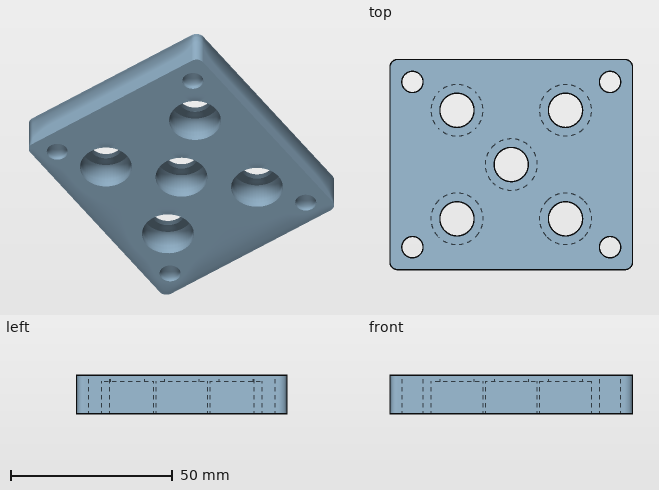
import cadquery as cq

length = 75.0
width = 65.0
thickness = 12.0
corner_radius = 2.5

mount_diameter = 6.5
mount_edge_distance = 7.0

bore_diameter = 10.5
bore_offset = 16.75
lip_thickness = 2.0
counterbore_diameter = 16.0
counterbore_depth = thickness - lip_thickness


def corner_points(x, y):
    """Four points mirrored about both centre lines."""
    return [(sx * x, sy * y) for sx in (-1, 1) for sy in (-1, 1)]


def vertical_cylinders(points, diameter, height):
    """Cylinders rising from the underside, used as cutting tools."""
    return cq.Workplane("XY").pushPoints(points).circle(diameter / 2).extrude(height)


def make_plate():
    plate = cq.Workplane("XY").box(length, width, thickness, centered=(True, True, False))
    return plate.edges("|Z").fillet(corner_radius)


def cut_mounting_holes(body):
    mount_x = length / 2 - mount_edge_distance
    mount_y = width / 2 - mount_edge_distance
    points = corner_points(mount_x, mount_y)
    return body.cut(vertical_cylinders(points, mount_diameter, thickness))


def cut_stepped_bores(body):
    points = [(0, 0)] + corner_points(bore_offset, bore_offset)
    body = body.cut(vertical_cylinders(points, bore_diameter, thickness))
    return body.cut(vertical_cylinders(points, counterbore_diameter, counterbore_depth))


result = cut_stepped_bores(cut_mounting_holes(make_plate()))